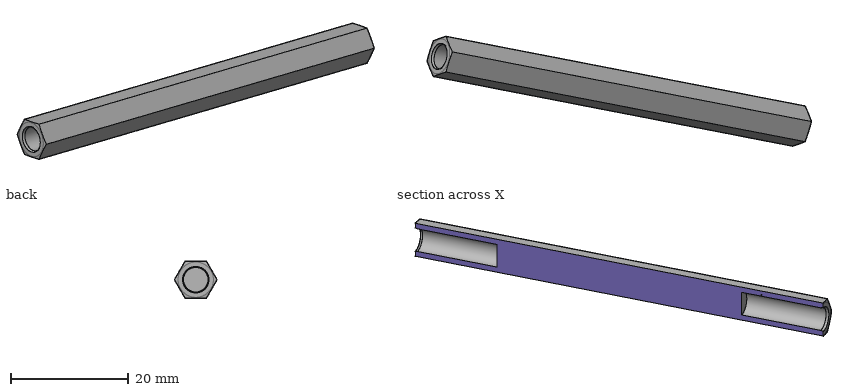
import cadquery as cq
import math

length = 76.2
across_flats = 6.3
across_corners = across_flats / math.cos(math.radians(30))
end_circle_diameter = 6.0
bevel_angle = 8.0
hole_diameter = 4.2
hole_mouth_diameter = 4.5
hole_mouth_depth = 0.45
hole_depth = 15.25


def bevelled_envelope():
    """Round bar with bevelled ends, used to trim the hexagon's corners."""
    bevel_width = (across_corners - end_circle_diameter) / 2
    bevel_height = bevel_width * math.tan(math.radians(bevel_angle))
    outer_radius = across_corners / 2
    end_radius = end_circle_diameter / 2
    half_length = length / 2
    return (
        cq.Workplane("XY")
        .moveTo(0, -half_length)
        .lineTo(end_radius, -half_length)
        .lineTo(outer_radius, bevel_height - half_length)
        .lineTo(outer_radius, half_length - bevel_height)
        .lineTo(end_radius, half_length)
        .lineTo(0, half_length)
        .close()
        .revolve(360, (0, 0, 0), (0, 1, 0))
    )


def front_hole():
    """Flat-bottomed hole with a tapered mouth, entering from the -Y end."""
    hole_radius = hole_diameter / 2
    mouth_radius = hole_mouth_diameter / 2
    end_y = -length / 2
    return (
        cq.Workplane("XY")
        .moveTo(0, end_y)
        .lineTo(mouth_radius, end_y)
        .lineTo(hole_radius, end_y + hole_mouth_depth)
        .lineTo(hole_radius, end_y + hole_depth)
        .lineTo(0, end_y + hole_depth)
        .close()
        .revolve(360, (0, 0, 0), (0, 1, 0))
    )


hexagon = cq.Workplane("XZ").polygon(6, across_corners).extrude(length / 2, both=True)
hole = front_hole()
result = hexagon.intersect(bevelled_envelope()).cut(hole).cut(hole.mirror("XZ"))